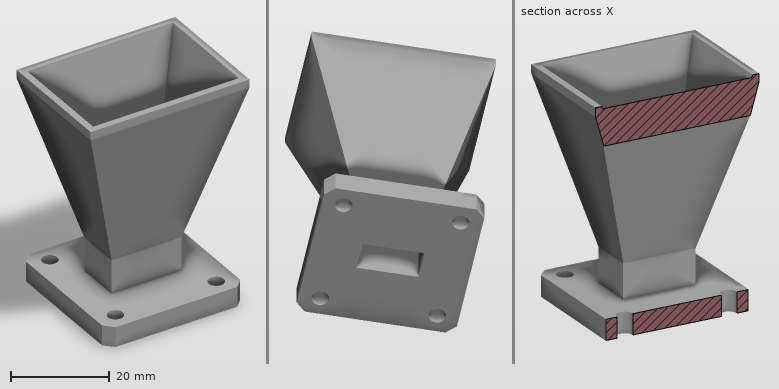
import cadquery as cq

flange_side = 33.25
flange_thickness = 4.75
corner_chamfer = 2.0
hole_diameter = 3.6
hole_spacing_x = 25.1
hole_spacing_y = 24.3

bore_x = 6.4
bore_y = 12.85
neck_wall = 2.0
neck_x = bore_x + 2 * neck_wall
neck_y = bore_y + 2 * neck_wall
neck_top = 12.8

horn_x = 28.45
horn_y = 38.25
rim_wall = 1.55
aperture_x = horn_x - 2 * rim_wall
aperture_y = horn_y - 2 * rim_wall
rim_height = 1.95
total_height = 51.8
rim_bottom = total_height - rim_height


def block(size_x, size_y, bottom, top):
    """Rectangular block centred on the Z axis."""
    return cq.Workplane("XY").workplane(offset=bottom).rect(size_x, size_y).extrude(top - bottom)


def flare(bottom_x, bottom_y, top_x, top_y, bottom, top):
    """Rectangular pyramid frustum centred on the Z axis."""
    return (
        cq.Workplane("XY")
        .workplane(offset=bottom)
        .rect(bottom_x, bottom_y)
        .workplane(offset=top - bottom)
        .rect(top_x, top_y)
        .loft(ruled=True)
    )


def make_flange():
    """Square plate with chamfered corners and four through holes."""
    plate = block(flange_side, flange_side, 0, flange_thickness)
    plate = plate.edges("|Z").chamfer(corner_chamfer)
    holes = (
        cq.Workplane("XY")
        .rect(hole_spacing_x, hole_spacing_y, forConstruction=True)
        .vertices()
        .circle(hole_diameter / 2)
        .extrude(flange_thickness)
    )
    return plate.cut(holes)


def make_outside():
    """Flange, neck, flared horn and rim joined together."""
    neck = block(neck_x, neck_y, flange_thickness, neck_top)
    horn = flare(neck_x, neck_y, horn_x, horn_y, neck_top, rim_bottom)
    rim = block(horn_x, horn_y, rim_bottom, total_height)
    return make_flange().union(neck).union(horn).union(rim)


def make_passage():
    """Straight bore that flares from the neck top to the open aperture."""
    bore = block(bore_x, bore_y, 0, neck_top)
    mouth = flare(bore_x, bore_y, aperture_x, aperture_y, neck_top, total_height)
    return bore.union(mouth)


result = make_outside().cut(make_passage())